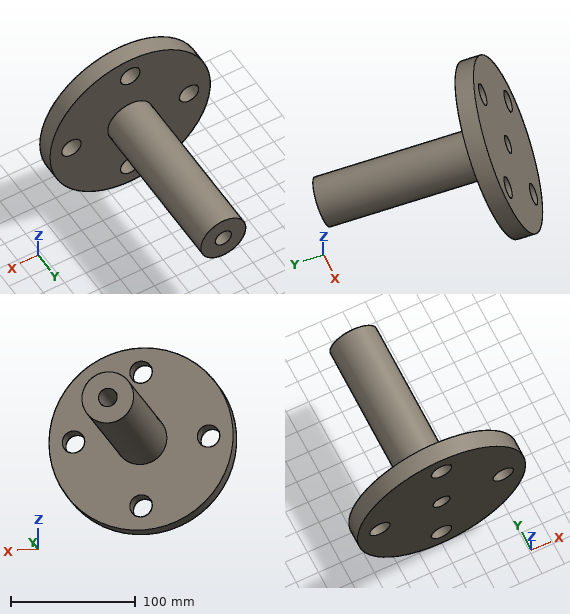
import cadquery as cq

overall_length = 160.0
flange_diameter = 150.0
flange_thickness = 16.0
shaft_diameter = 42.0
bore_diameter = 15.0
bolt_circle_diameter = 110.0
bolt_hole_diameter = 18.0
bolt_hole_count = 4


def cylinder_along_y(diameter, length):
    """Cylinder on the Y axis, running from Y = 0 towards +Y."""
    return cq.Workplane("XZ").circle(diameter / 2).extrude(-length)


flange = cylinder_along_y(flange_diameter, flange_thickness)
shaft = cylinder_along_y(shaft_diameter, overall_length)
body = flange.union(shaft)

bore = cylinder_along_y(bore_diameter, overall_length)

bolt_holes = (
    cq.Workplane("XZ")
    .polarArray(bolt_circle_diameter / 2, 0, 360, bolt_hole_count)
    .circle(bolt_hole_diameter / 2)
    .extrude(-flange_thickness)
)

result = body.cut(bore).cut(bolt_holes)